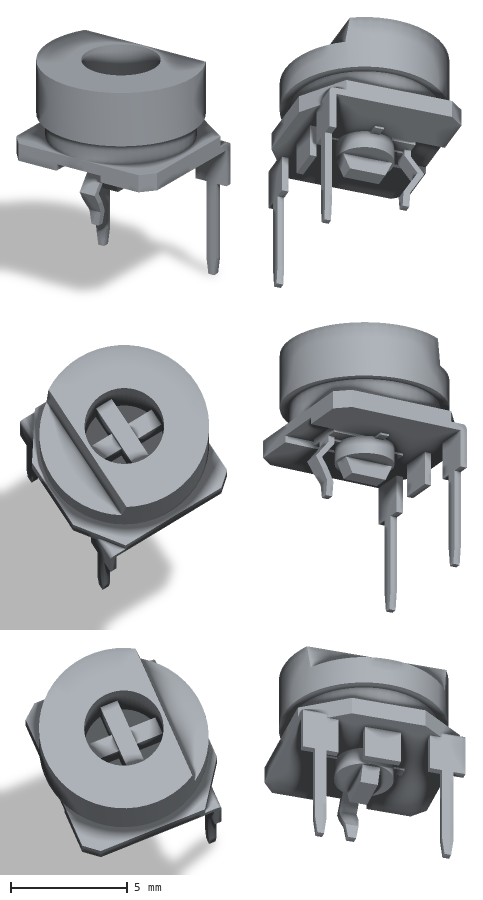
import cadquery as cq


WIDTH = 7.3
BASE_HEIGHT = 0.8
BASE_FRONT = 3.27
BASE_BACK = WIDTH / 2
FRONT_CHAMFER_X = 0.54
FRONT_CHAMFER_Y = 0.64
BACK_CHAMFER_X = 2.0
BACK_CHAMFER_Y = 1.41

NECK_RADIUS = BASE_FRONT
NECK_HEIGHT = 1.01
CAP_HEIGHT = 2.49
CAP_BOTTOM = BASE_HEIGHT + NECK_HEIGHT
CAP_TOP = CAP_BOTTOM + CAP_HEIGHT

STEP_DEPTH = 1.18
STEP_WALL_TOP_Y = 1.87
STEP_WALL_BOTTOM_Y = 2.05

WELL_RADIUS = 1.71
CROSS_BAR_LENGTH = 3.29
CROSS_BAR_WIDTH = 0.79
X_BAR_DROP = 1.2
Y_BAR_DROP = 1.5

HUB_RADIUS = 1.29
HUB_DROP = 0.8
KEY_TOP_WIDTH = 2.27
KEY_BOTTOM_WIDTH = 1.63
KEY_DROP = 1.49
SPIDER_LENGTH = 3.56
SPIDER_WIDTH = 0.41
SPIDER_THICKNESS = 0.09

SHEET = 0.31
PIN_TIP_Z = CAP_TOP - 10.3

TERMINAL_WIDTH = 1.6
TERMINAL_BACK_Y = 3.01
TERMINAL_BEND_RADIUS = 0.2
SHOULDER_DROP = 1.69
PIN_OFFSET = 0.54
PIN_WIDTH = 0.52
PIN_TIP_WIDTH = 0.3
PIN_TIP_LENGTH = 0.79

NOTCH_WIDTH = 2.29
STRAP_WIDTH = 1.81
STEM_WIDTH = 0.78
STEM_TIP_WIDTH = 0.36
STEM_FRONT_Y = -2.0
STEM_TAPER_Z = -1.5
STEM_TIP_Z = -2.7
KINK_REACH = 0.61
KINK_TOP_Z = -0.3
KINK_ELBOW_Z = -1.05
KINK_BOTTOM_Z = -2.05

FOOT_WIDTH = 1.62
FOOT_FRONT_Y = 2.51


def block(x_range, y_range, z_range):
    """Box spanning the given (low, high) ranges."""
    size = [high - low for low, high in (x_range, y_range, z_range)]
    corner = (x_range[0], y_range[0], z_range[0])
    return cq.Workplane("XY").box(*size, centered=False).translate(corner)


def centred(width):
    """Range of the given width centred on zero."""
    return (-width / 2, width / 2)


def disc(radius, bottom, top):
    """Cylinder on the rotor axis."""
    return cq.Workplane("XY").workplane(offset=bottom).circle(radius).extrude(top - bottom)


def make_base():
    side = WIDTH / 2
    right_half = [
        (side - FRONT_CHAMFER_X, -BASE_FRONT),
        (side, -BASE_FRONT + FRONT_CHAMFER_Y),
        (side, BASE_BACK - BACK_CHAMFER_Y),
        (side - BACK_CHAMFER_X, BASE_BACK),
    ]
    left_half = [(-x, y) for x, y in reversed(right_half)]
    plate = cq.Workplane("XY").polyline(right_half + left_half).close().extrude(BASE_HEIGHT)
    notch = block(centred(NOTCH_WIDTH), (-BASE_FRONT, 0), (0, SHEET))
    return plate.cut(notch)


def make_body():
    cap = disc(WIDTH / 2, CAP_BOTTOM, CAP_TOP)
    step_z = CAP_TOP - STEP_DEPTH
    step = (
        cq.Workplane("YZ")
        .polyline([
            (STEP_WALL_TOP_Y, CAP_TOP),
            (STEP_WALL_BOTTOM_Y, step_z),
            (WIDTH / 2, step_z),
            (WIDTH / 2, CAP_TOP),
        ])
        .close()
        .extrude(WIDTH / 2, both=True)
    )
    well = disc(WELL_RADIUS, CAP_BOTTOM, CAP_TOP)
    x_bar = block(
        centred(CROSS_BAR_LENGTH), centred(CROSS_BAR_WIDTH), (CAP_BOTTOM, CAP_TOP - X_BAR_DROP)
    )
    y_bar = block(
        centred(CROSS_BAR_WIDTH), centred(CROSS_BAR_LENGTH), (CAP_BOTTOM, CAP_TOP - Y_BAR_DROP)
    )
    neck = disc(NECK_RADIUS, BASE_HEIGHT, CAP_BOTTOM)
    return cap.cut(step).cut(well).union(neck).union(x_bar).union(y_bar)


def make_hub():
    hub = disc(HUB_RADIUS, -HUB_DROP, SHEET)
    key = (
        cq.Workplane("YZ")
        .polyline([
            (-KEY_TOP_WIDTH / 2, -HUB_DROP),
            (KEY_TOP_WIDTH / 2, -HUB_DROP),
            (KEY_BOTTOM_WIDTH / 2, -KEY_DROP),
            (-KEY_BOTTOM_WIDTH / 2, -KEY_DROP),
        ])
        .close()
        .extrude(STEM_WIDTH / 2, both=True)
    )
    spider_z = (-SPIDER_THICKNESS, 0)
    spider_x = block(centred(SPIDER_LENGTH), centred(SPIDER_WIDTH), spider_z)
    spider_y = block(centred(SPIDER_WIDTH), centred(SPIDER_LENGTH), spider_z)
    return hub.union(key).union(spider_x).union(spider_y)


def make_right_terminal():
    side = WIDTH / 2
    inner_side = side - TERMINAL_WIDTH
    back_y = TERMINAL_BACK_Y
    sheet_y = (back_y - SHEET, back_y)
    shoulder = block((inner_side, side), sheet_y, (-SHOULDER_DROP, SHEET))
    tab = block((inner_side, side), (BASE_BACK - BACK_CHAMFER_Y, back_y), (0, SHEET))
    bracket = shoulder.union(tab).edges("|X and >Y and >Z").fillet(TERMINAL_BEND_RADIUS)

    pin_x = side - PIN_OFFSET - PIN_WIDTH / 2
    taper_z = PIN_TIP_Z + PIN_TIP_LENGTH
    pin = (
        cq.Workplane("XZ", origin=(pin_x, back_y, 0))
        .polyline([
            (-PIN_WIDTH / 2, -SHOULDER_DROP),
            (-PIN_WIDTH / 2, taper_z),
            (-PIN_TIP_WIDTH / 2, PIN_TIP_Z),
            (PIN_TIP_WIDTH / 2, PIN_TIP_Z),
            (PIN_WIDTH / 2, taper_z),
            (PIN_WIDTH / 2, -SHOULDER_DROP),
        ])
        .close()
        .extrude(SHEET)
    )
    return bracket.union(pin)


def make_centre_terminal():
    strap = block(centred(STRAP_WIDTH), (STEM_FRONT_Y, 0), (0, SHEET))

    front_edge = [
        (STEM_FRONT_Y, 0),
        (STEM_FRONT_Y, KINK_TOP_Z),
        (STEM_FRONT_Y - KINK_REACH, KINK_ELBOW_Z),
        (STEM_FRONT_Y, KINK_BOTTOM_Z),
        (STEM_FRONT_Y, STEM_TIP_Z),
    ]
    back_edge = [(y + SHEET, z) for y, z in reversed(front_edge)]
    kinked_strip = (
        cq.Workplane("YZ")
        .polyline(front_edge + back_edge)
        .close()
        .extrude(STEM_WIDTH / 2, both=True)
    )
    tapered_outline = (
        cq.Workplane("XZ")
        .polyline([
            (-STEM_WIDTH / 2, 0),
            (-STEM_WIDTH / 2, STEM_TAPER_Z),
            (-STEM_TIP_WIDTH / 2, STEM_TIP_Z),
            (STEM_TIP_WIDTH / 2, STEM_TIP_Z),
            (STEM_WIDTH / 2, STEM_TAPER_Z),
            (STEM_WIDTH / 2, 0),
        ])
        .close()
        .extrude(BASE_FRONT)
    )
    return strap.union(kinked_strip.intersect(tapered_outline))


right_terminal = make_right_terminal()
foot = block(centred(FOOT_WIDTH), (FOOT_FRONT_Y, FOOT_FRONT_Y + SHEET), (-KEY_DROP, 0))

result = (
    make_base()
    .union(make_body())
    .union(make_hub())
    .union(right_terminal)
    .union(right_terminal.mirror("YZ"))
    .union(make_centre_terminal())
    .union(foot)
)